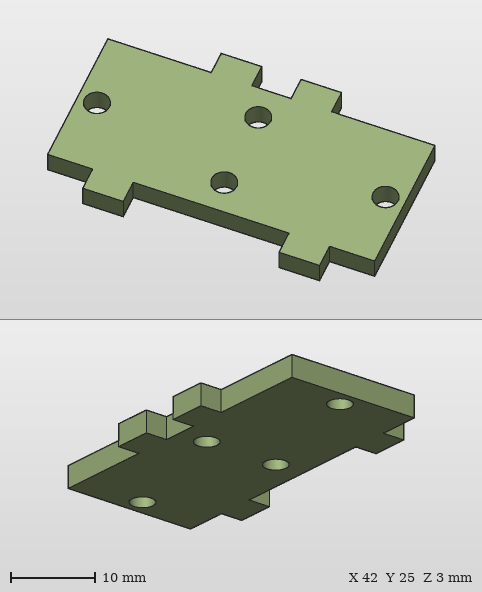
import cadquery as cq

plate_length = 42.0
overall_width = 25.0
thickness = 3.0

tab_length = 5.2
tab_depth = 3.1
front_tab_offset = 12.6
back_tab_offset = 5.12

hole_diameter = 3.2
end_hole_offset = 18.52
middle_hole_offset = 5.3

plate_width = overall_width - 2 * tab_depth


def block(length, width, center_x=0, center_y=0):
    """Full-thickness rectangular block standing on Z = 0."""
    return (
        cq.Workplane("XY")
        .center(center_x, center_y)
        .rect(length, width)
        .extrude(thickness)
    )


plate = block(plate_length, plate_width)

tab_center_y = (plate_width + tab_depth) / 2
for side, offset in ((-1, front_tab_offset), (1, back_tab_offset)):
    for tab_x in (-offset, offset):
        plate = plate.union(block(tab_length, tab_depth, tab_x, side * tab_center_y))

hole_centers = [
    (-end_hole_offset, 0),
    (end_hole_offset, 0),
    (0, -middle_hole_offset),
    (0, middle_hole_offset),
]
holes = (
    cq.Workplane("XY")
    .pushPoints(hole_centers)
    .circle(hole_diameter / 2)
    .extrude(thickness)
)

result = plate.cut(holes)